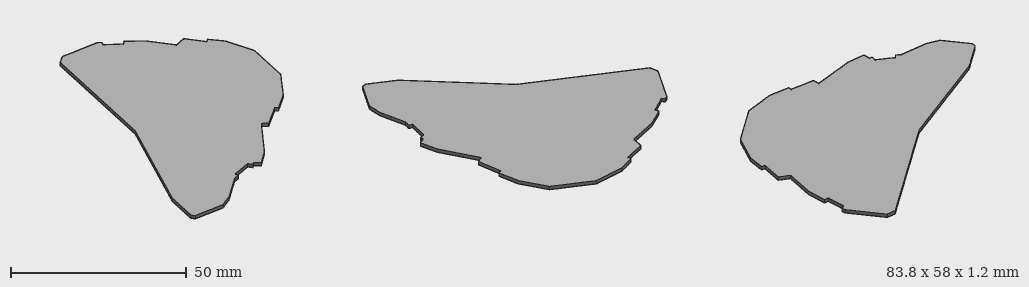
import cadquery as cq

length = 83.75
width = 58.03
thickness = 1.2

shelf_height = 8.75
shelf_end_x = 40.8
foot_start_x = 73.3

corner_cut = 1.9
corner_blend_length = 0.5
corner_blend_depth = 0.1

foot_corner_cut = 0.9

crest_left_x = 27.7
crest_right_x = 41.3

left_face_top = 22.9
right_face_top = 10.3

lower_edge = [
    (0, left_face_top),
    (0, shelf_height + corner_cut + corner_blend_length),
    (corner_blend_depth, shelf_height + corner_cut),
    (corner_cut, shelf_height + corner_blend_depth),
    (corner_cut + corner_blend_depth, shelf_height),
    (shelf_end_x, shelf_height),
    (foot_start_x, 0),
    (length - foot_corner_cut, 0),
    (length, foot_corner_cut),
    (length, right_face_top),
]

right_flank = [
    (81.5, 13.9),
    (75.2, 19.9),
    (74.6, 21.6),
    (73.5, 21.3),
    (71.4, 26.9),
    (72.5, 27.9),
    (71.9, 28.6),
    (73.1, 30.4),
    (69.0, 34.2),
    (57.6, 40.7),
    (58.7, 42.4),
    (53.5, 47.9),
    (54.1, 48.8),
    (49.5, 53.5),
]

crest = [
    (crest_right_x, width),
    (crest_left_x, width),
]

left_flank = [
    (19.4, 53.6),
    (15.9, 49.8),
    (16.7, 49.0),
    (11.9, 44.3),
    (13.3, 41.0),
    (6.8, 34.6),
    (3.6, 29.4),
    (4.6, 28.6),
    (1.7, 23.6),
    (0.6, 23.9),
]

outline = lower_edge + right_flank + crest + left_flank

result = cq.Workplane("XY").polyline(outline).close().extrude(thickness)